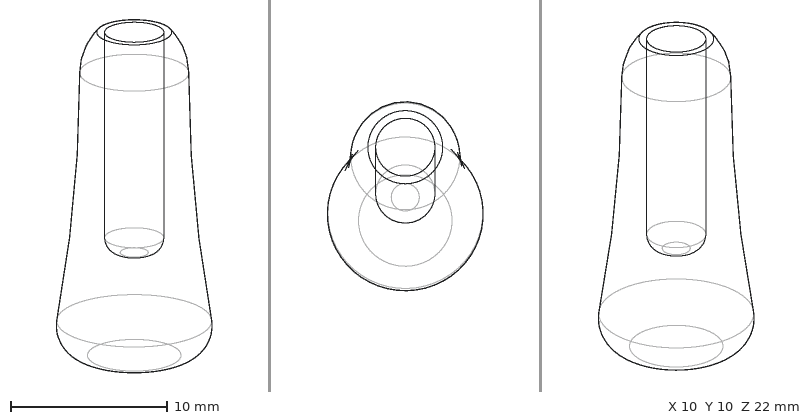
import cadquery as cq
import math

HEIGHT = 22.0
BASE_RADIUS = 5.0
BASE_ROUND = 2.0
NECK_RADIUS = 3.5
RIM_RADIUS = 2.4
CROWN_ROUND = 4.0
BORE_RADIUS = 1.9
BORE_FLOOR_RADIUS = 0.9
BORE_DEPTH = 15.0

crown_center_r = NECK_RADIUS - CROWN_ROUND
neck_z = HEIGHT - math.sqrt(CROWN_ROUND**2 - (RIM_RADIUS - crown_center_r) ** 2)

base_center_r = BASE_RADIUS - BASE_ROUND
flare_height = neck_z - BASE_ROUND
neck_offset = NECK_RADIUS - base_center_r
flare_radius = (flare_height**2 + neck_offset**2 - BASE_ROUND**2) / (2 * (BASE_ROUND - neck_offset))
flare_center_r = NECK_RADIUS + flare_radius
flare_angle = math.asin(flare_height / (flare_radius + BASE_ROUND))


def arc_point(center_r, center_z, radius, angle):
    """Point (r, z) on a circle; the angle is measured from the outward radial direction."""
    return (center_r + radius * math.cos(angle), center_z + radius * math.sin(angle))


def make_body():
    """Revolve the outer profile: rounded base, hollow flare, rounded crown."""
    base_round_mid = arc_point(base_center_r, BASE_ROUND, BASE_ROUND, (flare_angle - math.pi / 2) / 2)
    flare_start = arc_point(base_center_r, BASE_ROUND, BASE_ROUND, flare_angle)
    flare_mid = arc_point(flare_center_r, neck_z, flare_radius, math.pi + flare_angle / 2)
    crown_angle = math.asin((HEIGHT - neck_z) / CROWN_ROUND)
    crown_mid = arc_point(crown_center_r, neck_z, CROWN_ROUND, crown_angle / 2)
    profile = (
        cq.Workplane("XZ")
        .lineTo(base_center_r, 0)
        .threePointArc(base_round_mid, flare_start)
        .threePointArc(flare_mid, (NECK_RADIUS, neck_z))
        .threePointArc(crown_mid, (RIM_RADIUS, HEIGHT))
        .lineTo(0, HEIGHT)
        .close()
    )
    return profile.revolve(360, (0, 0, 0), (0, 1, 0))


def make_bore():
    """Blind bore from the top, with a rounded edge around its flat floor."""
    bore = cq.Workplane("XY").workplane(offset=HEIGHT - BORE_DEPTH).circle(BORE_RADIUS).extrude(BORE_DEPTH)
    return bore.faces("<Z").edges().fillet(BORE_RADIUS - BORE_FLOOR_RADIUS)


result = make_body().cut(make_bore())